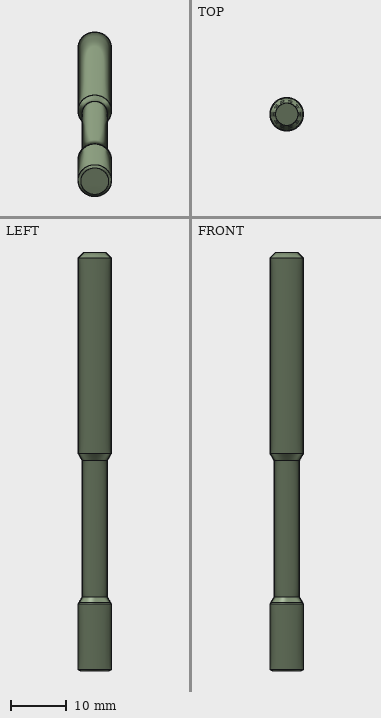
import cadquery as cq
import math

total_length = 75.0
shank_diameter = 6.0
neck_diameter = 4.5
cutter_diameter = 6.01

shank_length = 36.0
shank_chamfer = 1.0
cone_half_angle = math.radians(30)

cutter_cylinder_top = 12.0
cutter_top_diameter = 5.71

tip_face_diameter = 5.0
tip_edge_diameter = 5.71
lead_height = 0.2
edge_chamfer_height = 0.1


def cone_height(large_diameter, small_diameter):
    """Axial height of a transition cone between two diameters."""
    return (large_diameter - small_diameter) / 2 / math.tan(cone_half_angle)


def revolve_profile(profile):
    """Revolve a closed (radius, height) outline around the Z axis."""
    return cq.Workplane("XZ").polyline(profile).close().revolve(360, (0, 0, 0), (0, 1, 0))


joint_height = cutter_cylinder_top + cone_height(cutter_diameter, cutter_top_diameter)
joint_radius = cutter_top_diameter / 2


def make_cutter():
    """Cylindrical cutting head standing on Z = 0, tapered at both rims."""
    cutter_radius = cutter_diameter / 2
    return revolve_profile([
        (0, 0),
        (tip_face_diameter / 2, 0),
        (tip_edge_diameter / 2, lead_height),
        (cutter_radius, lead_height + edge_chamfer_height),
        (cutter_radius, cutter_cylinder_top),
        (joint_radius, joint_height),
        (0, joint_height),
    ])


def make_shank():
    """Shank with a slim neck that flares at the bottom to meet the cutter."""
    shank_radius = shank_diameter / 2
    neck_radius = neck_diameter / 2
    shank_bottom = total_length - shank_length
    neck_top = shank_bottom - cone_height(shank_diameter, neck_diameter)
    neck_bottom = joint_height + cone_height(cutter_top_diameter, neck_diameter)
    return revolve_profile([
        (0, joint_height),
        (joint_radius, joint_height),
        (neck_radius, neck_bottom),
        (neck_radius, neck_top),
        (shank_radius, shank_bottom),
        (shank_radius, total_length - shank_chamfer),
        (shank_radius - shank_chamfer, total_length),
        (0, total_length),
    ])


cutter = make_cutter()
shank = make_shank()

result = cq.Compound.makeCompound([cutter.val(), shank.val()])